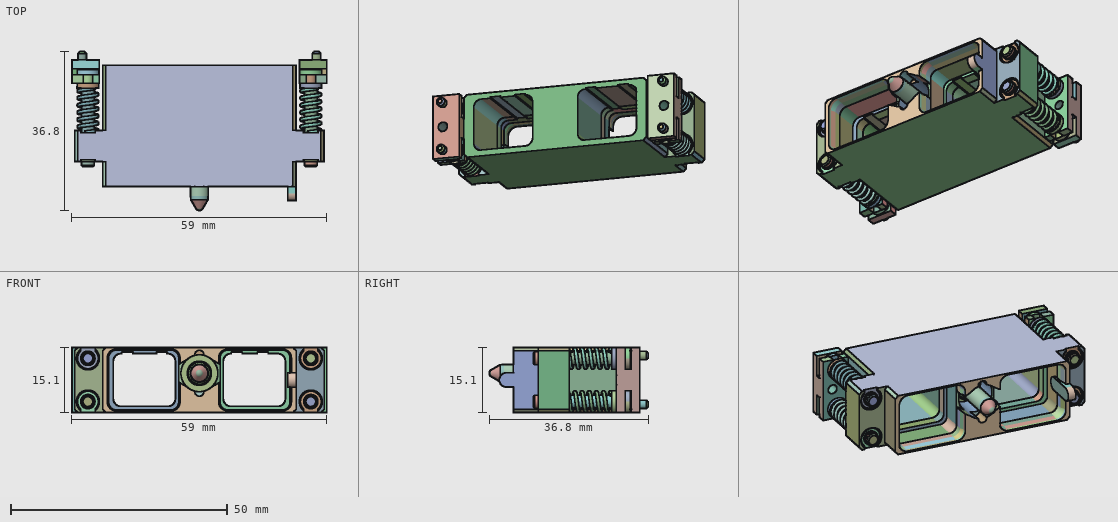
import cadquery as cq
import math

OVERALL_WIDTH = 59.02
OVERALL_LENGTH = 36.83
HEIGHT = 15.06
BODY_WIDTH = 44.7
BODY_LENGTH = 28.1
EDGE_CHAMFER = 0.75

WING_SPAN = 57.7
WING_START = 5.75
WING_END = 13.0

WINDOW_CENTER_X = 12.88
MOUTH_WIDTH = 16.86
MOUTH_HEIGHT = 14.26
MOUTH_RADIUS = 2.1
MOUTH_DEPTH = 0.87
TAPER_END = 2.2
SIDE_TAPER = 0.32
TOP_TAPER = 0.17
STEP_DEPTH = 4.0
STEP_INSET = 0.03
LEDGE_DEPTH = 9.2
THROUGH_CENTER_X = 12.72
THROUGH_WIDTH = 14.3
THROUGH_HEIGHT = 12.15
THROUGH_RADIUS = 1.75
RELIEF_DEPTH = 11.7
RELIEF_OFFSET = 0.05
KEYWAY_RISE = 0.36
KEYWAYS_X = [(-17.9, -15.4), (-9.9, -7.5), (7.4, 9.9), (13.4, 15.9)]

PIN_Z = 1.56
PIN_RADIUS = 2.07
PIN_STRAIGHT_END = -2.15
PIN_CONE_START = -3.05
PIN_CONE_START_RADIUS = 2.0
PIN_CONE_END = -5.1
PIN_DOME_RADIUS = 0.8
PIN_TIP = -5.56
COLLAR_RADIUS = 2.8
SEAT_RADIUS = 2.55
SEAT_FRONT = 7.0
SEAT_LENGTH = 0.7
BORE_RADIUS = 4.27
BORE_DEPTH = 10.0
HEX_APOTHEM = 4.17
HEX_HALF_ANGLE = math.radians(30)
HEX_DEPTH = 4.0
HEX_HALF_WIDTH = 5.0
NOTCH_RADIUS = 1.05

TAB_X_INNER = 20.4
TAB_X_OUTER = BODY_WIDTH / 2
TAB_HEIGHT = 3.3
TAB_TIP = -3.25
TAB_BACK = 6.2

PLATE_OUTER_X = OVERALL_WIDTH / 2
PLATE_WIDTH = 6.4
PLATE_START = 23.86
PLATE_END = 29.3
HEAD_SLOT_START = 25.85
HEAD_SLOT_END = 27.3
PLATE_HOLE_RADIUS = 1.1

PEG_X = 27.1
PEG_Z = 5.65
PEG_RADIUS = 1.0
PEG_CHAMFER = 0.5
PEG_TIP = PIN_TIP + OVERALL_LENGTH

SCREW_X = 25.78
SCREW_Z = 5.0
SHANK_RADIUS = 1.5
SHANK_TIP = 4.6
SHANK_CHAMFER = 0.35
SLEEVE_RADIUS = 1.65
FLANGE_RADIUS = 2.52
FLANGE_START = 22.75
NECK_RADIUS = 1.1
HEAD_END = 27.05
WIRE_RADIUS = 0.41
COIL_RADIUS = FLANGE_RADIUS - WIRE_RADIUS
COIL_PITCH = 1.66
COIL_START_ANGLE = 108

SCREW_POCKET_RADIUS = 2.66
SCREW_POCKET_DEPTH = 0.5
SCREW_POCKET_CHAMFER = 0.25
POCKET_OPENING_WIDTH = 3.3


def block(x0, x1, y0, y1, z0, z1):
    """Box between opposite corners."""
    return cq.Workplane("XY").box(x1 - x0, y1 - y0, z1 - z0, centered=False).translate((x0, y0, z0))


def plane_at(y, x=0.0, z=0.0):
    """Work plane facing +Y whose local x runs along -X and whose local y runs along +Z."""
    return cq.Workplane(cq.Plane(origin=(x, y, z), xDir=(-1, 0, 0), normal=(0, 1, 0)))


def turned(points, x, z):
    """Solid of revolution about a line along Y through (x, z); points are (radius, y)."""
    profile = cq.Workplane("XY").polyline(points).close()
    return profile.revolve(360, (0, 0, 0), (0, 1, 0)).translate((x, 0, z))


def rounded_prism(width, height, radius, y0, y1, x):
    """Rectangular prism along Y, centred at x, with its four long edges rounded."""
    return plane_at(y0, x).rect(width, height).extrude(y1 - y0).edges("|Y").fillet(radius)


def chamfered_bar(width, y0, y1):
    """Full-height bar along Y with its four long edges chamfered."""
    return plane_at(y0).rect(width, HEIGHT).extrude(y1 - y0).edges("|Y").chamfer(EDGE_CHAMFER)


def window_cut(side):
    """Mouth, lead-in taper, finely stepped socket and ledged through opening; side is -1 or +1."""
    x = side * WINDOW_CENTER_X
    width = MOUTH_WIDTH - 2 * SIDE_TAPER
    height = MOUTH_HEIGHT - 2 * TOP_TAPER
    radius = MOUTH_RADIUS - SIDE_TAPER
    mouth = rounded_prism(MOUTH_WIDTH, MOUTH_HEIGHT, MOUTH_RADIUS, 0, MOUTH_DEPTH, x)
    mouth_outline = cq.Sketch().rect(MOUTH_WIDTH, MOUTH_HEIGHT).vertices().fillet(MOUTH_RADIUS)
    socket_outline = cq.Sketch().rect(width, height).vertices().fillet(radius)
    socket_place = cq.Location(cq.Vector(0, 0, TAPER_END - MOUTH_DEPTH))
    taper = plane_at(MOUTH_DEPTH, x).placeSketch(mouth_outline, socket_outline.moved(socket_place)).loft()
    socket = rounded_prism(width, height, radius, TAPER_END, STEP_DEPTH, x)
    deep_socket = rounded_prism(
        width - 2 * STEP_INSET, height - 2 * STEP_INSET, radius - STEP_INSET, STEP_DEPTH, LEDGE_DEPTH, x
    )
    through_x = side * THROUGH_CENTER_X
    opening = rounded_prism(
        THROUGH_WIDTH, THROUGH_HEIGHT, THROUGH_RADIUS, LEDGE_DEPTH, BODY_LENGTH, through_x
    )
    relief = rounded_prism(
        THROUGH_WIDTH + 2 * RELIEF_OFFSET,
        THROUGH_HEIGHT + 2 * RELIEF_OFFSET,
        THROUGH_RADIUS + RELIEF_OFFSET,
        RELIEF_DEPTH,
        BODY_LENGTH,
        through_x,
    )
    return mouth.union(taper).union(socket).union(deep_socket).union(opening).union(relief)


def polarising_recess():
    """Hexagonal recess open to both windows, its two half-round notches and the deeper round bore."""
    apex = HEX_APOTHEM / math.cos(HEX_HALF_ANGLE)
    shoulder = apex - HEX_HALF_WIDTH * math.tan(HEX_HALF_ANGLE)
    outline = [
        (0, apex),
        (HEX_HALF_WIDTH, shoulder),
        (HEX_HALF_WIDTH, -shoulder),
        (0, -apex),
        (-HEX_HALF_WIDTH, -shoulder),
        (-HEX_HALF_WIDTH, shoulder),
    ]
    recess = plane_at(0, z=PIN_Z).polyline(outline).close().extrude(HEX_DEPTH)
    notch_places = [(0, BORE_RADIUS), (0, -BORE_RADIUS)]
    notches = plane_at(0, z=PIN_Z).pushPoints(notch_places).circle(NOTCH_RADIUS).extrude(HEX_DEPTH)
    bore = plane_at(0, z=PIN_Z).circle(BORE_RADIUS).extrude(BORE_DEPTH)
    return recess.union(notches).union(bore)


def guide_pin():
    """Domed, tapered pin standing on a conical seat at the bottom of the bore."""
    dome_height = PIN_CONE_END - PIN_TIP
    sphere_radius = (PIN_DOME_RADIUS**2 + dome_height**2) / (2 * dome_height)
    half_angle = math.asin(PIN_DOME_RADIUS / sphere_radius) / 2
    dome_middle = (sphere_radius * math.sin(half_angle), PIN_TIP + sphere_radius * (1 - math.cos(half_angle)))
    profile = (
        cq.Workplane("XY")
        .moveTo(0, PIN_TIP)
        .threePointArc(dome_middle, (PIN_DOME_RADIUS, PIN_CONE_END))
        .lineTo(PIN_CONE_START_RADIUS, PIN_CONE_START)
        .lineTo(PIN_RADIUS, PIN_STRAIGHT_END)
        .lineTo(PIN_RADIUS, SEAT_FRONT)
        .lineTo(SEAT_RADIUS, SEAT_FRONT + SEAT_LENGTH)
        .lineTo(COLLAR_RADIUS, SEAT_FRONT + SEAT_LENGTH)
        .lineTo(COLLAR_RADIUS, BORE_DEPTH)
        .lineTo(0, BORE_DEPTH)
        .close()
    )
    return profile.revolve(360, (0, 0, 0), (0, 1, 0)).translate((0, 0, PIN_Z))


def locating_tab():
    """Round-ended tongue lying along the +X wall."""
    length = TAB_BACK - TAB_TIP
    tongue = cq.Workplane("YZ").slot2D(length, TAB_HEIGHT).extrude(TAB_X_OUTER - TAB_X_INNER)
    return tongue.translate((TAB_X_INNER, (TAB_BACK + TAB_TIP) / 2, 0))


def screw_pocket(x, z, y_face, inward):
    """Chamfered round pocket in a wing face, open to the nearest outer long side."""
    floor = y_face + inward * SCREW_POCKET_DEPTH
    chamfer_end = y_face + inward * SCREW_POCKET_CHAMFER
    inner_radius = SCREW_POCKET_RADIUS - SCREW_POCKET_CHAMFER
    pocket = turned(
        [
            (0, y_face),
            (SCREW_POCKET_RADIUS, y_face),
            (inner_radius, chamfer_end),
            (inner_radius, floor),
            (0, floor),
        ],
        x,
        z,
    )
    half_width = POCKET_OPENING_WIDTH / 2
    z_side = math.copysign(HEIGHT / 2, z)
    opening = block(
        x - half_width, x + half_width, min(y_face, floor), max(y_face, floor), min(z, z_side), max(z, z_side)
    )
    return pocket.union(opening)


def spring_screw(x, z):
    """Shouldered screw with its compression spring."""
    screw = turned(
        [
            (0, SHANK_TIP),
            (SHANK_RADIUS - SHANK_CHAMFER, SHANK_TIP),
            (SHANK_RADIUS, SHANK_TIP + SHANK_CHAMFER),
            (SHANK_RADIUS, WING_START),
            (SLEEVE_RADIUS, WING_START),
            (SLEEVE_RADIUS, WING_START + SCREW_POCKET_DEPTH),
            (SHANK_RADIUS, WING_START + SCREW_POCKET_DEPTH),
            (SHANK_RADIUS, FLANGE_START),
            (FLANGE_RADIUS, FLANGE_START),
            (FLANGE_RADIUS, PLATE_START),
            (NECK_RADIUS, PLATE_START),
            (NECK_RADIUS, HEAD_SLOT_START),
            (FLANGE_RADIUS, HEAD_SLOT_START),
            (FLANGE_RADIUS, HEAD_END),
            (0, HEAD_END),
        ],
        x,
        z,
    )
    spring_start = WING_END - SCREW_POCKET_DEPTH
    spring_length = FLANGE_START - spring_start
    path = cq.Workplane("XY").add(cq.Wire.makeHelix(COIL_PITCH, spring_length, COIL_RADIUS))
    wire = cq.Workplane("XZ").center(COIL_RADIUS, 0).circle(WIRE_RADIUS).sweep(path, isFrenet=True)
    spring = wire.rotate((0, 0, 0), (0, 0, 1), -COIL_START_ANGLE)
    spring = spring.rotate((0, 0, 0), (1, 0, 0), -90).translate((x, spring_start, z))
    return screw.union(spring)


def floating_plate(side):
    """Plate with T-slots for the screw heads, a centre hole and two pegs; side is -1 or +1."""
    half_height = HEIGHT / 2
    x0, x1 = sorted((side * PLATE_OUTER_X, side * (PLATE_OUTER_X - PLATE_WIDTH)))
    plate = block(x0, x1, PLATE_START, PLATE_END, -half_height, half_height)
    hole = plane_at(PLATE_START, side * PEG_X).circle(PLATE_HOLE_RADIUS).extrude(PLATE_END - PLATE_START)
    plate = plate.cut(hole)
    slot_inner_z = SCREW_Z - FLANGE_RADIUS
    screw_x = side * SCREW_X
    for end in (-1, 1):
        z0, z1 = sorted((end * slot_inner_z, end * half_height))
        plate = plate.cut(block(x0, x1, HEAD_SLOT_START, HEAD_SLOT_END, z0, z1))
        z0, z1 = sorted((end * SCREW_Z, end * half_height))
        neck_slot = block(screw_x - NECK_RADIUS, screw_x + NECK_RADIUS, PLATE_START, HEAD_SLOT_START, z0, z1)
        plate = plate.cut(neck_slot)
        peg = turned(
            [
                (0, PLATE_END),
                (PEG_RADIUS, PLATE_END),
                (PEG_RADIUS, PEG_TIP - PEG_CHAMFER),
                (PEG_RADIUS - PEG_CHAMFER, PEG_TIP),
                (0, PEG_TIP),
            ],
            side * PEG_X,
            end * PEG_Z,
        )
        plate = plate.union(peg)
    return plate


def shell():
    """Housing with its side wings, windows, keyways, recess and screw pockets."""
    body = chamfered_bar(BODY_WIDTH, 0, BODY_LENGTH).union(chamfered_bar(WING_SPAN, WING_START, WING_END))
    for side in (-1, 1):
        body = body.cut(window_cut(side))
    top_z = THROUGH_HEIGHT / 2 + KEYWAY_RISE
    for x0, x1 in KEYWAYS_X:
        body = body.cut(block(x0, x1, LEDGE_DEPTH, BODY_LENGTH, 0, top_z))
    body = body.cut(polarising_recess())
    for x in (-SCREW_X, SCREW_X):
        for z in (-SCREW_Z, SCREW_Z):
            body = body.cut(screw_pocket(x, z, WING_START, 1))
            body = body.cut(screw_pocket(x, z, WING_END, -1))
    return body


result = shell().union(guide_pin()).union(locating_tab())
for side in (-1, 1):
    result = result.union(floating_plate(side))
    for end in (-1, 1):
        result = result.union(spring_screw(side * SCREW_X, end * SCREW_Z))